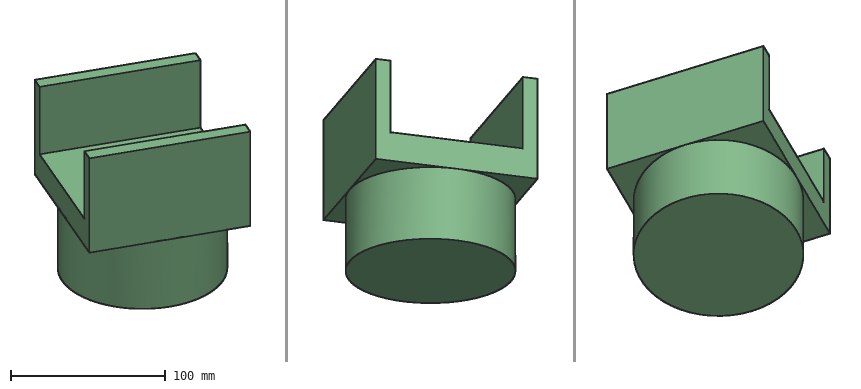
import cadquery as cq

total_height = 120.0
width = 110.0
post_height = 50.0
channel_depth = 50.0
wall_thickness = 10.0

body_height = total_height - post_height
channel_width = width - 2 * wall_thickness
floor_top = total_height - channel_depth


def make_post():
    """Round post standing on the XY plane."""
    return cq.Workplane("XY").circle(width / 2).extrude(post_height)


def make_saddle():
    """Square block on the post with an open channel running along Y."""
    block = cq.Workplane("XY").workplane(offset=post_height).rect(width, width).extrude(body_height)
    channel = cq.Workplane("XY").workplane(offset=floor_top).rect(channel_width, width).extrude(channel_depth)
    return block.cut(channel)


result = make_post().union(make_saddle())